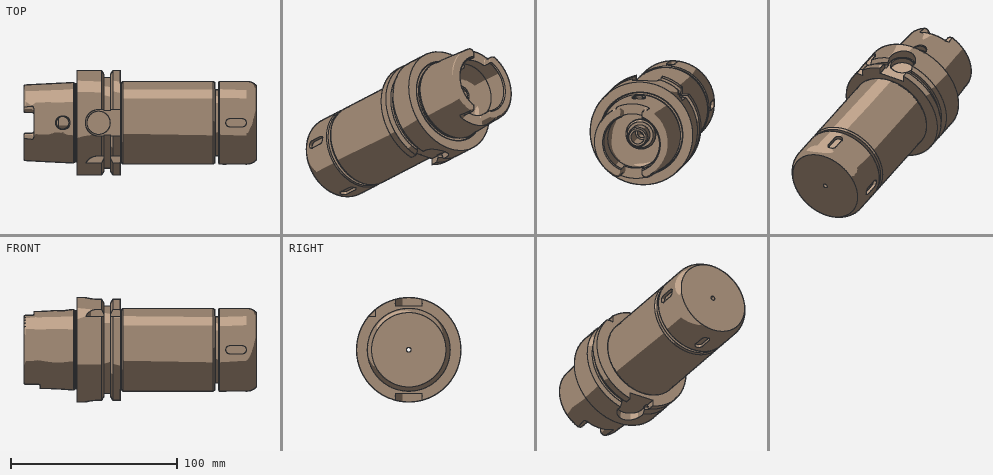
import cadquery as cq
import math

LENGTH = 140.0

TAPER_END_RADIUS = 22.8
TAPER_SLOPE = 0.05
TAPER_LENGTH = 30.0
SHANK_END_ROUND = 1.0
SHANK_NECK_RADIUS = 23.7
SHANK_NECK_STEP = 0.49
SHANK_NECK_RELIEF = 0.3

FLANGE_START = 31.8
FLANGE_LENGTH = 26.2
FLANGE_END = FLANGE_START + FLANGE_LENGTH
FLANGE_RADIUS = 31.5
FACE_RECESS_RADIUS = 50.0 / 2
FACE_RECESS_DEPTH = 0.7
FACE_RECESS_CHAMFER = 0.4
GROOVE_START = 48.3
GROOVE_END = 52.0
GROOVE_RADIUS = 27.5
GROOVE_LIP_RADIUS = 29.0
GROOVE_BEVEL = 1.5

BODY_RADIUS = 50.0 / 2
BODY_START = 58.8
BODY_END = 115.0
BODY_CHAMFER = 0.7
BODY_END_BEVEL_LENGTH = 1.3
BODY_NECK_RADIUS = 23.7

NUT_NECK_RADIUS = 40.0 / 2
NUT_NECK_CHAMFER = 0.4
NUT_START = 117.0
NUT_CHAMFER = 0.7
NUT_NOSE_START = 134.1
NUT_NOSE_RADIUS = 22.8
NUT_END_CHAMFER = 0.4
WRENCH_SLOT_CENTER = 127.7
WRENCH_SLOT_LENGTH = 12.5
WRENCH_SLOT_WIDTH = 4.9
WRENCH_SLOT_DEPTH = 2.1
WRENCH_SLOT_COUNT = 4

BORE_RADIUS = 34.0 / 2
BORE_CHAMFER = 0.7
BORE_DEPTH = 12.6
UNDERCUT_RADIUS = 40.0 / 2
UNDERCUT_FILLET = 4.3
CAVITY_DEPTH = 30.8

COLLAR_RADIUS = 18.0 / 2
COLLAR_HEIGHT = 2.8
COLLAR_CHAMFER = 1.1
TUBE_RADIUS = 12.0 / 2
TUBE_TIP_X = 19.3
TUBE_TIP_BEVEL = 0.7
TUBE_TIP_BEVEL_LENGTH = 1.4

COOLANT_STAGES = [(8.0 / 2, 33.6), (5.7 / 2, 42.0), (2.7 / 2, LENGTH)]

DRIVE_SLOT_HALF_WIDTH = 6.2
DRIVE_SLOT_SHELF = 41.6 / 2
DRIVE_SLOT_EDGE_RADIUS = 2.8
DRIVE_SLOT_FLOOR_FILLET = 1.1
DRIVE_SLOT_DEPTH_TOP = 6.0
DRIVE_SLOT_DEPTH_BOTTOM = 9.7

ACCESS_HOLE_X = 23.2
ACCESS_HOLE_RADIUS = 7.5 / 2
ACCESS_HOLE_RIM_RADIUS = 4.5

KEYWAY_CENTER_X = 45.0
KEYWAY_RADIUS = 8.0
KEYWAY_FLOOR = 26.5
CHIP_RADIUS = 7.0
CHIP_DEPTH = 3.4
NOTCH_OFFSET = 40.2 / 2
NOTCH_CENTER_X = 44.0
NOTCH_RADIUS = 7.4


def taper_radius(x):
    return TAPER_END_RADIUS + TAPER_SLOPE * x


def revolve_about_x(profile):
    return profile.close().revolve(360, (0, 0, 0), (1, 0, 0))


def turned_body():
    recess_x = FLANGE_START + FACE_RECESS_DEPTH
    return revolve_about_x(
        cq.Workplane("XY")
        .moveTo(0, 0)
        .lineTo(0, taper_radius(0))
        .lineTo(TAPER_LENGTH, taper_radius(TAPER_LENGTH))
        .lineTo(TAPER_LENGTH + SHANK_NECK_STEP, SHANK_NECK_RADIUS)
        .lineTo(TAPER_LENGTH + 2 * SHANK_NECK_STEP, SHANK_NECK_RADIUS)
        .lineTo(TAPER_LENGTH + 3 * SHANK_NECK_STEP, SHANK_NECK_RADIUS - SHANK_NECK_RELIEF)
        .lineTo(recess_x, SHANK_NECK_RADIUS - SHANK_NECK_RELIEF)
        .lineTo(recess_x, FACE_RECESS_RADIUS)
        .lineTo(FLANGE_START + FACE_RECESS_CHAMFER, FACE_RECESS_RADIUS)
        .lineTo(FLANGE_START, FACE_RECESS_RADIUS + FACE_RECESS_CHAMFER)
        .lineTo(FLANGE_START, FLANGE_RADIUS)
        .lineTo(GROOVE_START - GROOVE_BEVEL, FLANGE_RADIUS)
        .lineTo(GROOVE_START, GROOVE_LIP_RADIUS)
        .lineTo(GROOVE_START, GROOVE_RADIUS)
        .lineTo(GROOVE_END, GROOVE_RADIUS)
        .lineTo(GROOVE_END, GROOVE_LIP_RADIUS)
        .lineTo(GROOVE_END + GROOVE_BEVEL, FLANGE_RADIUS)
        .lineTo(FLANGE_END, FLANGE_RADIUS)
        .lineTo(FLANGE_END, BODY_NECK_RADIUS)
        .lineTo(BODY_START, BODY_NECK_RADIUS)
        .lineTo(BODY_START, BODY_RADIUS - BODY_CHAMFER)
        .lineTo(BODY_START + BODY_CHAMFER, BODY_RADIUS)
        .lineTo(BODY_END - BODY_END_BEVEL_LENGTH, BODY_RADIUS)
        .lineTo(BODY_END, BODY_RADIUS - BODY_CHAMFER)
        .lineTo(BODY_END, NUT_NECK_RADIUS + NUT_NECK_CHAMFER)
        .lineTo(BODY_END + NUT_NECK_CHAMFER, NUT_NECK_RADIUS)
        .lineTo(NUT_START, NUT_NECK_RADIUS)
        .lineTo(NUT_START, BODY_RADIUS - NUT_CHAMFER)
        .lineTo(NUT_START + NUT_CHAMFER, BODY_RADIUS)
        .lineTo(NUT_NOSE_START, BODY_RADIUS)
        .tangentArcPoint((LENGTH - NUT_END_CHAMFER, NUT_NOSE_RADIUS), relative=False)
        .lineTo(LENGTH, NUT_NOSE_RADIUS - NUT_END_CHAMFER)
        .lineTo(LENGTH, 0)
    )


def shank_cavity():
    return revolve_about_x(
        cq.Workplane("XY")
        .moveTo(0, 0)
        .lineTo(0, BORE_RADIUS + BORE_CHAMFER)
        .lineTo(BORE_CHAMFER, BORE_RADIUS)
        .lineTo(BORE_DEPTH, BORE_RADIUS)
        .lineTo(BORE_DEPTH, UNDERCUT_RADIUS)
        .lineTo(CAVITY_DEPTH - UNDERCUT_FILLET, UNDERCUT_RADIUS)
        .tangentArcPoint((CAVITY_DEPTH, UNDERCUT_RADIUS - UNDERCUT_FILLET), relative=False)
        .lineTo(CAVITY_DEPTH, 0)
    )


def coolant_tube():
    collar_x = CAVITY_DEPTH - COLLAR_HEIGHT
    return revolve_about_x(
        cq.Workplane("XY")
        .moveTo(TUBE_TIP_X, 0)
        .lineTo(TUBE_TIP_X, TUBE_RADIUS - TUBE_TIP_BEVEL)
        .lineTo(TUBE_TIP_X + TUBE_TIP_BEVEL_LENGTH, TUBE_RADIUS)
        .lineTo(collar_x, TUBE_RADIUS)
        .lineTo(collar_x, COLLAR_RADIUS - COLLAR_CHAMFER)
        .lineTo(collar_x + COLLAR_CHAMFER, COLLAR_RADIUS)
        .lineTo(CAVITY_DEPTH, COLLAR_RADIUS)
        .lineTo(CAVITY_DEPTH, 0)
    )


def coolant_channel():
    start_x = TUBE_TIP_X
    profile = cq.Workplane("XY").moveTo(start_x, 0)
    for radius, end_x in COOLANT_STAGES:
        profile = profile.lineTo(start_x, radius).lineTo(end_x, radius)
        start_x = end_x
    return revolve_about_x(profile.lineTo(start_x, 0))


def drive_slot(depth):
    half, shelf, edge = DRIVE_SLOT_HALF_WIDTH, DRIVE_SLOT_SHELF, DRIVE_SLOT_EDGE_RADIUS
    outer = FLANGE_RADIUS
    bend = edge * (1 - math.sqrt(0.5))
    return (
        cq.Workplane("YZ")
        .moveTo(-half, 0)
        .lineTo(half, 0)
        .lineTo(half, shelf - edge)
        .threePointArc((half + bend, shelf - bend), (half + edge, shelf))
        .lineTo(outer, shelf)
        .lineTo(outer, outer)
        .lineTo(-outer, outer)
        .lineTo(-outer, shelf)
        .lineTo(-half - edge, shelf)
        .threePointArc((-half - bend, shelf - bend), (-half, shelf - edge))
        .close()
        .extrude(depth)
        .faces(">X")
        .edges()
        .fillet(DRIVE_SLOT_FLOOR_FILLET)
    )


def access_hole():
    rim_z = taper_radius(ACCESS_HOLE_X)
    chamfer = ACCESS_HOLE_RIM_RADIUS - ACCESS_HOLE_RADIUS
    return (
        cq.Workplane("XZ", origin=(ACCESS_HOLE_X, 0, 0))
        .moveTo(0, BORE_RADIUS)
        .lineTo(ACCESS_HOLE_RADIUS, BORE_RADIUS)
        .lineTo(ACCESS_HOLE_RADIUS, rim_z - chamfer)
        .lineTo(ACCESS_HOLE_RIM_RADIUS, rim_z)
        .lineTo(ACCESS_HOLE_RIM_RADIUS, FLANGE_RADIUS)
        .lineTo(0, FLANGE_RADIUS)
        .close()
        .revolve(360, (0, 0, 0), (0, 1, 0))
    )


def round_ended_slot(center_x, center_y, floor_z, radius):
    """Slot with a round end at center_x, open at the rear face of the flange."""
    height = FLANGE_RADIUS - floor_z
    run = FLANGE_END - center_x
    floor = cq.Workplane("XY", origin=(center_x, center_y, floor_z))
    rounded_end = floor.circle(radius).extrude(height)
    straight = floor.center(run / 2, 0).rect(run, 2 * radius).extrude(height)
    return straight.union(rounded_end)


def keyway():
    return round_ended_slot(KEYWAY_CENTER_X, 0, KEYWAY_FLOOR, KEYWAY_RADIUS)


def chip_pocket():
    floor = cq.Workplane("XY", origin=(KEYWAY_CENTER_X, 0, KEYWAY_FLOOR - CHIP_DEPTH))
    return floor.circle(CHIP_RADIUS).extrude(FLANGE_RADIUS)


def orientation_notch():
    center_y = -NOTCH_OFFSET - NOTCH_RADIUS
    return round_ended_slot(NOTCH_CENTER_X, center_y, NOTCH_OFFSET, NOTCH_RADIUS)


def wrench_slot():
    floor = cq.Workplane("XY", origin=(WRENCH_SLOT_CENTER, 0, BODY_RADIUS - WRENCH_SLOT_DEPTH))
    return floor.slot2D(WRENCH_SLOT_LENGTH, WRENCH_SLOT_WIDTH).extrude(FLANGE_RADIUS)


def turn(shape, angle):
    return shape.rotate((0, 0, 0), (1, 0, 0), angle)


result = turned_body()
result = result.cut(drive_slot(DRIVE_SLOT_DEPTH_TOP))
result = result.cut(turn(drive_slot(DRIVE_SLOT_DEPTH_BOTTOM), 180))
result = result.faces("<X").edges().fillet(SHANK_END_ROUND)
result = result.cut(shank_cavity())
result = result.cut(access_hole())
result = result.union(coolant_tube())
result = result.cut(coolant_channel())

for angle in (0, 180):
    result = result.cut(turn(keyway(), angle))
result = result.cut(chip_pocket())
result = result.cut(orientation_notch())

for index in range(WRENCH_SLOT_COUNT):
    result = result.cut(turn(wrench_slot(), index * 360 / WRENCH_SLOT_COUNT))